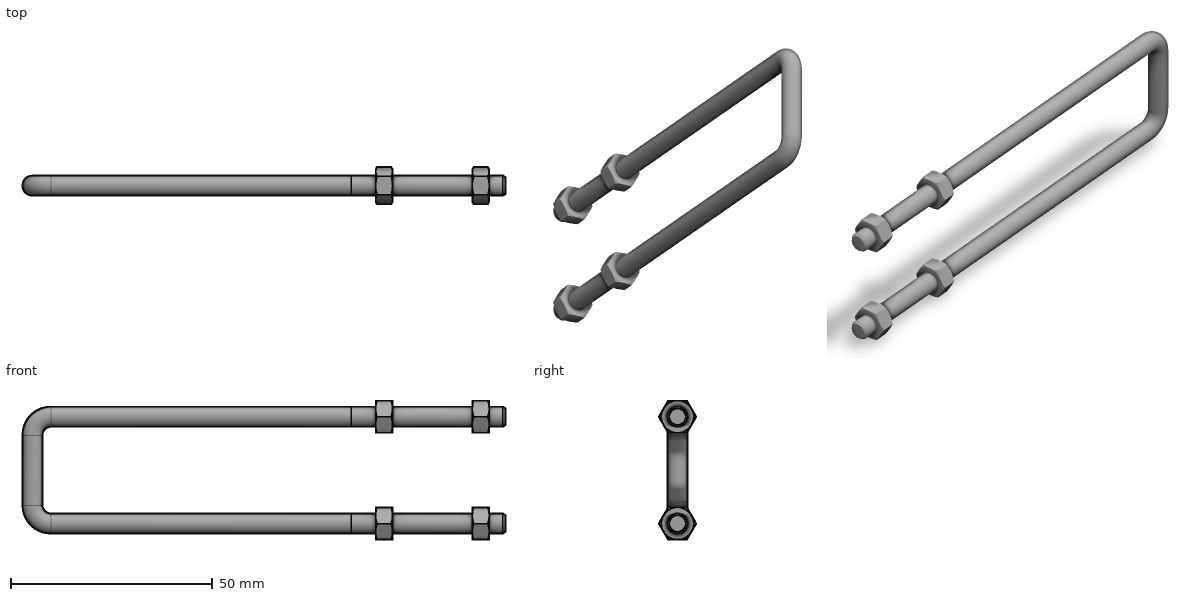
import math

import cadquery as cq

overall_length = 120.0
rod_diameter = 5.0
leg_spacing = 26.5
bend_radius = 4.5
thread_length = 38.3
end_chamfer_length = 0.7
end_chamfer_depth = 0.5
nut_sides = 6
nut_width = 8.0
nut_height = 4.2
nut_chamfer_angle = 30.0
nut_starts = (87.7, 111.7)

rod_radius = rod_diameter / 2
leg_height = leg_spacing / 2
crossbar_x = rod_radius
bend_end_x = crossbar_x + bend_radius
thread_start_x = overall_length - thread_length
nut_face_radius = nut_width / 2
corner_radius = nut_face_radius / math.cos(math.pi / nut_sides)
nut_chamfer_length = (corner_radius - nut_face_radius) * math.tan(math.radians(nut_chamfer_angle))
leg_sides = (-1, 1)


def make_u_rod():
    """Plain U-shaped rod, from one thread start round to the other."""
    path = (
        cq.Workplane("XZ")
        .moveTo(thread_start_x, leg_height)
        .lineTo(bend_end_x, leg_height)
        .tangentArcPoint((-bend_radius, -bend_radius))
        .lineTo(crossbar_x, bend_radius - leg_height)
        .tangentArcPoint((bend_radius, -bend_radius))
        .lineTo(thread_start_x, -leg_height)
    )
    return (
        cq.Workplane("YZ", origin=(thread_start_x, 0, 0))
        .center(0, leg_height)
        .circle(rod_radius)
        .sweep(path)
    )


def make_threaded_end(side):
    """Straight threaded end of one leg, with its outer rim chamfered."""
    return (
        cq.Workplane("YZ", origin=(thread_start_x, 0, side * leg_height))
        .circle(rod_radius)
        .extrude(thread_length)
        .faces(">X").edges()
        .chamfer(end_chamfer_length, end_chamfer_depth)
    )


def make_nut(start_x, side):
    """Hexagon nut with flats on top and bottom and its corners chamfered at both faces."""
    nut_plane = cq.Workplane("YZ", origin=(start_x, 0, side * leg_height))
    hexagon = nut_plane.polygon(nut_sides, 2 * corner_radius).extrude(nut_height)
    corner_trim = (
        nut_plane.circle(corner_radius)
        .extrude(nut_height)
        .faces("<X or >X").edges()
        .chamfer(nut_chamfer_length, corner_radius - nut_face_radius)
    )
    bore = nut_plane.circle(rod_radius).extrude(nut_height)
    return hexagon.intersect(corner_trim).cut(bore)


u_rod = make_u_rod()
threaded_ends = [make_threaded_end(side) for side in leg_sides]
nuts = [make_nut(start_x, side) for start_x in nut_starts for side in leg_sides]

result = cq.Compound.makeCompound(
    [u_rod.val()] + [end.val() for end in threaded_ends] + [nut.val() for nut in nuts]
)